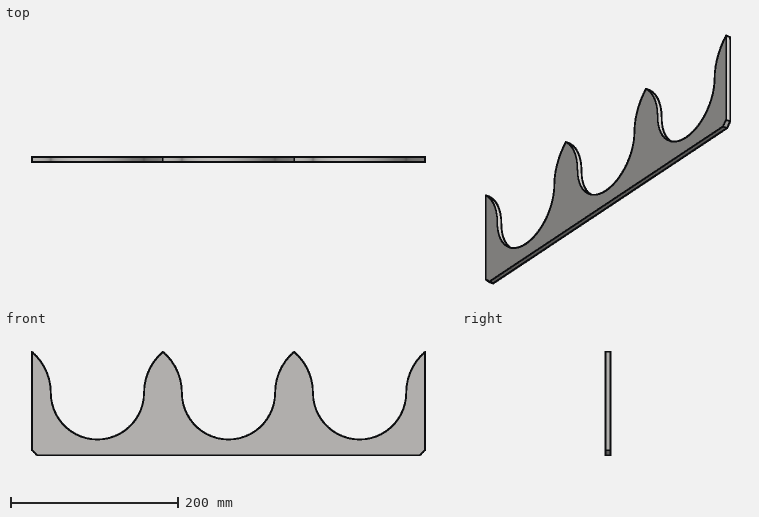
import cadquery as cq
import math

length = 469.9
thickness = 6.35
height = 123.825
cradle_count = 3
cradle_radius = 55.5625
floor_thickness = 19.05
corner_chamfer = 6.35

pitch = length / cradle_count
cradle_center_z = floor_thickness + cradle_radius

flank_run = pitch / 2 - cradle_radius
flank_rise = height - cradle_center_z
flank_radius = (flank_run**2 + flank_rise**2) / (2 * flank_run)
flank_sweep = math.asin(flank_rise / flank_radius)


def flank_midpoint(cradle_x, side):
    """Middle of a flank arc; side is -1 for the left flank, +1 for the right."""
    half_sweep = flank_sweep / 2
    x_offset = cradle_radius + flank_radius * (1 - math.cos(half_sweep))
    return (cradle_x + side * x_offset, cradle_center_z + flank_radius * math.sin(half_sweep))


def add_cradle(outline, cradle_x):
    """Continue the outline from the left tip, through one cradle, to the right tip."""
    left_edge = (cradle_x - cradle_radius, cradle_center_z)
    right_edge = (cradle_x + cradle_radius, cradle_center_z)
    return (
        outline.threePointArc(flank_midpoint(cradle_x, -1), left_edge)
        .threePointArc((cradle_x, floor_thickness), right_edge)
        .threePointArc(flank_midpoint(cradle_x, 1), (cradle_x + pitch / 2, height))
    )


def make_rack():
    """Flat plate with a row of cradles in its top edge and chamfered lower corners."""
    half_length = length / 2
    outline = (
        cq.Workplane("XZ", origin=(0, thickness / 2, 0))
        .moveTo(-half_length + corner_chamfer, 0)
        .lineTo(-half_length, corner_chamfer)
        .lineTo(-half_length, height)
    )
    for index in range(cradle_count):
        outline = add_cradle(outline, -half_length + (index + 0.5) * pitch)
    outline = outline.lineTo(half_length, corner_chamfer).lineTo(half_length - corner_chamfer, 0)
    return outline.close().extrude(thickness)


result = make_rack()